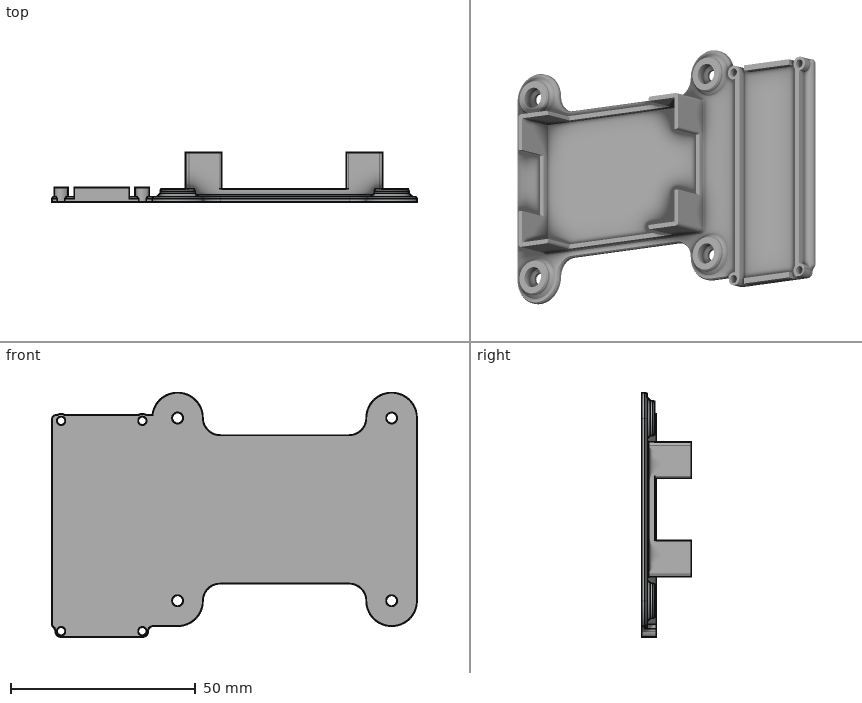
import cadquery as cq
import math


LENGTH = 98.95
HEIGHT = 66.25
POST_TOP = 13.5

PLATE_THICKNESS = 1.5
RIM_CHAMFER_DEPTH = 0.6
RIM_CHAMFER_INSET = 0.3

MOUNT_PITCH_X = 58.0
MOUNT_PITCH_Z = 49.5
LOBE_RADIUS = 6.9
MOUNT_HOLE_DIAMETER = 2.9
MOUNT_POCKET_DIAMETER = 5.5
MOUNT_FLOOR = 0.9
MOUNT_BOSS_DIAMETER = 9.5
MOUNT_BOSS_TOP = 3.6
MOUNT_FOOT_SIZE = 0.9

RIGHT_MOUNT_X = LENGTH - LOBE_RADIUS
LEFT_MOUNT_X = RIGHT_MOUNT_X - MOUNT_PITCH_X
UPPER_MOUNT_Z = HEIGHT - LOBE_RADIUS
LOWER_MOUNT_Z = UPPER_MOUNT_Z - MOUNT_PITCH_Z

NECK_FILLET = 4.6

BOARD_PITCH_X = 22.0
BOARD_PITCH_Z = 57.0
BOARD_MARGIN = 1.6
BOARD_LEFT_X = 2.5
BOARD_RIGHT_X = BOARD_LEFT_X + BOARD_PITCH_X
BOARD_LOWER_Z = BOARD_MARGIN
BOARD_UPPER_Z = BOARD_LOWER_Z + BOARD_PITCH_Z
BOARD_BOSS_DIAMETER = 3.8
BOARD_HOLE_DIAMETER = 2.2
BOARD_BOSS_TOP = 4.0
BOARD_PLATE_TOP = BOARD_UPPER_Z + BOARD_MARGIN
PLATE_CORNER_RADIUS = 1.2
TAB_LEFT = BOARD_LEFT_X - BOARD_MARGIN
TAB_RIGHT = BOARD_RIGHT_X + BOARD_MARGIN

SUPPORT_WALL = 1.5
END_WALL_WIDTH = 15.0
LEFT_WALL_X = BOARD_LEFT_X
RIGHT_WALL_X = 22.5

TRAY_LENGTH = 53.5
TRAY_LEFT_X = 36.15
TRAY_HEIGHT = 36.6
TRAY_WALL = 1.2
TRAY_CORNER_RADIUS = 0.9
TRAY_WALL_TOP = 3.6
TRAY_FOOT_HEIGHT = 0.5
TRAY_FOOT_WIDTH = 0.3
POST_LEG = 9.9
LEG_END_RADIUS = 0.6

TRAY_CENTRE_X = TRAY_LEFT_X + TRAY_LENGTH / 2
TRAY_CENTRE_Z = (LOWER_MOUNT_Z + UPPER_MOUNT_Z) / 2

DIAGONAL = math.sqrt(0.5)
MOUNTS = [(x, z) for x in (LEFT_MOUNT_X, RIGHT_MOUNT_X) for z in (LOWER_MOUNT_Z, UPPER_MOUNT_Z)]
BOARD_BOSSES = [(x, z) for x in (BOARD_LEFT_X, BOARD_RIGHT_X) for z in (BOARD_LOWER_Z, BOARD_UPPER_Z)]


def section(y=0.0):
    """Sketch plane parallel to XZ at height y; extrude with a negative length to go towards +Y."""
    return cq.Workplane("XZ", origin=(0, y, 0))


def prism(sketch, depth):
    return sketch.extrude(-depth)


def cylinders(points, diameter, bottom, top):
    return prism(section(bottom).pushPoints(points).circle(diameter / 2), top - bottom)


def arc_point(centre, radius, across, up):
    """Middle of a quarter arc, on the diagonal given by the signs across and up."""
    return (centre[0] + across * radius * DIAGONAL, centre[1] + up * radius * DIAGONAL)


def polar(centre, radius, angle):
    return (centre[0] + radius * math.cos(angle), centre[1] + radius * math.sin(angle))


def outline():
    """Edge of the plate, followed clockwise from the left edge."""
    lobe_bottom = LOWER_MOUNT_Z - LOBE_RADIUS
    left_lobe_edge = LEFT_MOUNT_X + LOBE_RADIUS
    right_lobe_edge = RIGHT_MOUNT_X - LOBE_RADIUS
    neck_left = left_lobe_edge + NECK_FILLET
    neck_right = right_lobe_edge - NECK_FILLET
    neck_top = UPPER_MOUNT_Z - NECK_FILLET
    neck_bottom = LOWER_MOUNT_Z + NECK_FILLET
    rise = BOARD_PLATE_TOP - UPPER_MOUNT_Z
    lobe_start_x = LEFT_MOUNT_X - math.sqrt(LOBE_RADIUS**2 - rise**2)
    step_radius = lobe_bottom - BOARD_LOWER_Z
    left_step = (TAB_LEFT - step_radius, BOARD_LOWER_Z)
    right_step = (TAB_RIGHT + step_radius, BOARD_LOWER_Z)
    swing = math.acos((PLATE_CORNER_RADIUS - left_step[0]) / (step_radius + PLATE_CORNER_RADIUS))
    joint = polar(left_step, step_radius, swing)
    lower_corner = polar(left_step, step_radius + PLATE_CORNER_RADIUS, swing)
    corner = (PLATE_CORNER_RADIUS, BOARD_PLATE_TOP - PLATE_CORNER_RADIUS)
    lower_left_boss = (BOARD_LEFT_X, BOARD_LOWER_Z)
    lower_right_boss = (BOARD_RIGHT_X, BOARD_LOWER_Z)
    return (
        section()
        .moveTo(0, lower_corner[1])
        .lineTo(0, corner[1])
        .threePointArc(arc_point(corner, PLATE_CORNER_RADIUS, -1, 1), (corner[0], BOARD_PLATE_TOP))
        .lineTo(lobe_start_x, BOARD_PLATE_TOP)
        .threePointArc((LEFT_MOUNT_X, HEIGHT), (left_lobe_edge, UPPER_MOUNT_Z))
        .threePointArc(arc_point((neck_left, UPPER_MOUNT_Z), NECK_FILLET, -1, -1), (neck_left, neck_top))
        .lineTo(neck_right, neck_top)
        .threePointArc(
            arc_point((neck_right, UPPER_MOUNT_Z), NECK_FILLET, 1, -1), (right_lobe_edge, UPPER_MOUNT_Z)
        )
        .threePointArc((RIGHT_MOUNT_X, HEIGHT), (LENGTH, UPPER_MOUNT_Z))
        .lineTo(LENGTH, LOWER_MOUNT_Z)
        .threePointArc((RIGHT_MOUNT_X, lobe_bottom), (right_lobe_edge, LOWER_MOUNT_Z))
        .threePointArc(
            arc_point((neck_right, LOWER_MOUNT_Z), NECK_FILLET, 1, 1), (neck_right, neck_bottom)
        )
        .lineTo(neck_left, neck_bottom)
        .threePointArc(
            arc_point((neck_left, LOWER_MOUNT_Z), NECK_FILLET, -1, 1), (left_lobe_edge, LOWER_MOUNT_Z)
        )
        .threePointArc(
            arc_point((LEFT_MOUNT_X, LOWER_MOUNT_Z), LOBE_RADIUS, 1, -1), (LEFT_MOUNT_X, lobe_bottom)
        )
        .lineTo(right_step[0], lobe_bottom)
        .threePointArc(arc_point(right_step, step_radius, -1, 1), (TAB_RIGHT, BOARD_LOWER_Z))
        .threePointArc(arc_point(lower_right_boss, BOARD_MARGIN, 1, -1), (BOARD_RIGHT_X, 0))
        .lineTo(BOARD_LEFT_X, 0)
        .threePointArc(arc_point(lower_left_boss, BOARD_MARGIN, -1, -1), (TAB_LEFT, BOARD_LOWER_Z))
        .threePointArc(polar(left_step, step_radius, swing / 2), joint)
        .threePointArc(
            polar(lower_corner, PLATE_CORNER_RADIUS, math.pi + swing / 2), (0, lower_corner[1])
        )
        .close()
    )


def plate():
    body = prism(outline(), PLATE_THICKNESS)
    return body.faces(">Y").edges().chamfer(RIM_CHAMFER_DEPTH, RIM_CHAMFER_INSET)


def mount_boss(x, z):
    """Round boss with a conical foot and a chamfered top rim, as a revolved profile."""
    radius = MOUNT_BOSS_DIAMETER / 2
    profile = (
        cq.Workplane("XY", origin=(x, 0, z))
        .lineTo(radius + MOUNT_FOOT_SIZE, 0)
        .lineTo(radius + MOUNT_FOOT_SIZE, PLATE_THICKNESS)
        .lineTo(radius, PLATE_THICKNESS + MOUNT_FOOT_SIZE)
        .lineTo(radius, MOUNT_BOSS_TOP - RIM_CHAMFER_DEPTH)
        .lineTo(radius - RIM_CHAMFER_INSET, MOUNT_BOSS_TOP)
        .lineTo(0, MOUNT_BOSS_TOP)
        .close()
    )
    return profile.revolve(360, (0, 0, 0), (0, 1, 0))


def board_bosses():
    """Small round bosses; the lower pair is trimmed to the plate outline."""
    upper = [point for point in BOARD_BOSSES if point[1] == BOARD_UPPER_Z]
    lower = [point for point in BOARD_BOSSES if point[1] == BOARD_LOWER_Z]
    trimmed = cylinders(lower, BOARD_BOSS_DIAMETER, 0, BOARD_BOSS_TOP).intersect(
        prism(outline(), BOARD_BOSS_TOP)
    )
    return cylinders(upper, BOARD_BOSS_DIAMETER, 0, BOARD_BOSS_TOP).union(trimmed)


def box(x, z, length, height, bottom, top):
    """Box with its lower left corner at (x, z), spanning bottom to top along Y."""
    return prism(section(bottom).moveTo(x, z).rect(length, height, centered=False), top - bottom)


def support_walls():
    """Two side walls joining the bosses and two end walls flush with the plate edges."""
    end_x = (BOARD_LEFT_X + BOARD_RIGHT_X - END_WALL_WIDTH) / 2
    walls = cq.Workplane("XZ")
    for x in (LEFT_WALL_X, RIGHT_WALL_X):
        walls = walls.add(box(x, BOARD_LOWER_Z, SUPPORT_WALL, BOARD_PITCH_Z, 0, BOARD_BOSS_TOP))
    for z in (0, BOARD_PLATE_TOP - SUPPORT_WALL):
        walls = walls.add(box(end_x, z, END_WALL_WIDTH, SUPPORT_WALL, 0, BOARD_BOSS_TOP))
    return walls.combine()


def tray_rectangle(bottom, top, margin):
    """Box over the tray, grown by margin on all four sides."""
    return box(
        TRAY_CENTRE_X - TRAY_LENGTH / 2 - margin,
        TRAY_CENTRE_Z - TRAY_HEIGHT / 2 - margin,
        TRAY_LENGTH + 2 * margin,
        TRAY_HEIGHT + 2 * margin,
        bottom,
        top,
    )


def tray_wall(top):
    """Rectangular wall around the tray, rounded at its outer corners."""
    outer = tray_rectangle(PLATE_THICKNESS, top, 0).edges("|Y").fillet(TRAY_CORNER_RADIUS)
    return outer.cut(tray_rectangle(PLATE_THICKNESS, top, -TRAY_WALL))


def tray_foot():
    """Sloping foot around the outside of the tray wall."""
    foot_top = PLATE_THICKNESS + TRAY_FOOT_HEIGHT
    foot = tray_rectangle(0, foot_top, TRAY_FOOT_WIDTH)
    foot = foot.edges("|Y").fillet(TRAY_CORNER_RADIUS + TRAY_FOOT_WIDTH)
    foot = foot.faces(">Y").edges().chamfer(TRAY_FOOT_HEIGHT, TRAY_FOOT_WIDTH)
    return foot.cut(tray_rectangle(PLATE_THICKNESS, foot_top, -TRAY_WALL))


def leg(corner, direction_x, direction_z, along_x, rounded):
    """One leg of a corner post; a rounded leg has its outer end edge filleted."""
    length, height = (POST_LEG, TRAY_WALL) if along_x else (TRAY_WALL, POST_LEG)
    x = min(corner[0], corner[0] + direction_x * length)
    z = min(corner[1], corner[1] + direction_z * height)
    body = box(x, z, length, height, PLATE_THICKNESS, POST_TOP)
    if rounded:
        end_x = corner[0] + direction_x * POST_LEG if along_x else corner[0]
        end_z = corner[1] if along_x else corner[1] + direction_z * POST_LEG
        end_edge = cq.selectors.NearestToPointSelector((end_x, (PLATE_THICKNESS + POST_TOP) / 2, end_z))
        body = body.edges("|Y").edges(end_edge).fillet(LEG_END_RADIUS)
    return body


def corner_posts():
    """L-shaped posts at the tray corners; the upright legs of the lower pair have square ends."""
    legs = cq.Workplane("XZ")
    for side_x in (-1, 1):
        for side_z in (-1, 1):
            corner = (
                TRAY_CENTRE_X + side_x * TRAY_LENGTH / 2,
                TRAY_CENTRE_Z + side_z * TRAY_HEIGHT / 2,
            )
            legs = legs.add(leg(corner, -side_x, -side_z, along_x=True, rounded=True))
            legs = legs.add(leg(corner, -side_x, -side_z, along_x=False, rounded=side_z > 0))
    return legs.combine().intersect(tray_wall(POST_TOP))


body = plate()
for mount_x, mount_z in MOUNTS:
    body = body.union(mount_boss(mount_x, mount_z))
for feature in (board_bosses(), support_walls(), tray_wall(TRAY_WALL_TOP), tray_foot(), corner_posts()):
    body = body.union(feature)
body = body.cut(cylinders(BOARD_BOSSES, BOARD_HOLE_DIAMETER, 0, BOARD_BOSS_TOP))
body = body.cut(cylinders(MOUNTS, MOUNT_HOLE_DIAMETER, 0, MOUNT_BOSS_TOP))
result = body.cut(cylinders(MOUNTS, MOUNT_POCKET_DIAMETER, MOUNT_FLOOR, MOUNT_BOSS_TOP))